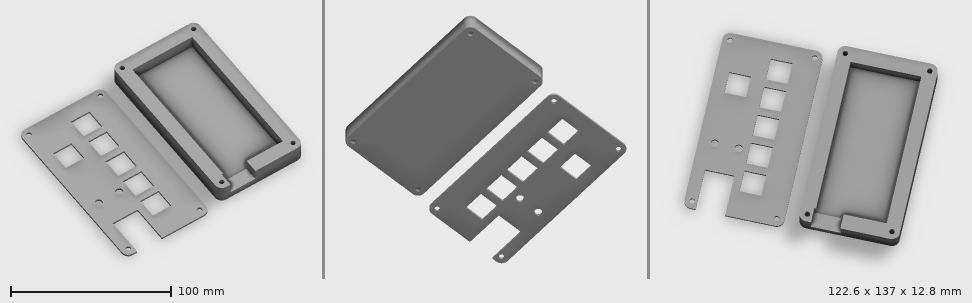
import cadquery as cq

length = 119.4
width = 64.0
corner_radius = 5.0
screw_hole_diameter = 3.4

tray_height = 12.8
pocket_length = 100.0
pocket_width = 45.4
pocket_depth = 10.0

opening_width = 19.0
opening_offset = 36.9
notch_depth = 8.0
slot_length = 27.0

plate_thickness = 1.5
plate_gap = 9.0
plate_shift = 3.2
key_size = 14.0
key_pitch = 19.1
key_count = 5
first_key_from_left = 18.4
key_row_from_back = 24.7
lower_key_stagger = 0.75
lower_key_from_left = first_key_from_left + lower_key_stagger * key_pitch
lower_key_from_back = 48.2
stud_hole_diameter = 5.0
stud_hole_from_left = 74.0
stud_holes_from_back = (38.3, 53.6)

left = -length / 2
right = length / 2
back = width / 2
opening_y = back - opening_offset - opening_width / 2


def rounded_slab(height):
    """Round-cornered slab with a screw hole on the centre of each corner arc."""
    return (
        cq.Workplane("XY")
        .rect(length, width)
        .extrude(height)
        .edges("|Z")
        .fillet(corner_radius)
        .faces(">Z")
        .workplane(origin=(0, 0, 0))
        .rect(length - 2 * corner_radius, width - 2 * corner_radius, forConstruction=True)
        .vertices()
        .hole(screw_hole_diameter)
    )


def side_opening(depth_along_x, floor_z, height):
    """Cutter for an opening that runs in from the right-hand side."""
    return (
        cq.Workplane("XY")
        .workplane(offset=floor_z)
        .center(right - depth_along_x / 2, opening_y)
        .rect(depth_along_x, opening_width)
        .extrude(height)
    )


def make_tray():
    pocket = (
        cq.Workplane("XY")
        .workplane(offset=tray_height - pocket_depth)
        .rect(pocket_length, pocket_width)
        .extrude(pocket_depth)
    )
    wall_thickness = (length - pocket_length) / 2
    notch = side_opening(wall_thickness, tray_height - notch_depth, notch_depth)
    return rounded_slab(tray_height).cut(pocket).cut(notch)


def make_switch_plate():
    key_centers = [
        (left + first_key_from_left + i * key_pitch, back - key_row_from_back)
        for i in range(key_count)
    ]
    key_centers.append((left + lower_key_from_left, back - lower_key_from_back))
    keys = (
        cq.Workplane("XY")
        .pushPoints(key_centers)
        .rect(key_size, key_size)
        .extrude(plate_thickness)
    )
    stud_holes = (
        cq.Workplane("XY")
        .pushPoints([(left + stud_hole_from_left, back - y) for y in stud_holes_from_back])
        .circle(stud_hole_diameter / 2)
        .extrude(plate_thickness)
    )
    slot = side_opening(slot_length, 0, plate_thickness)
    return rounded_slab(plate_thickness).cut(keys).cut(stud_holes).cut(slot)


tray = make_tray()
switch_plate = make_switch_plate().translate((plate_shift, -(width + plate_gap), 0))

result = cq.Compound.makeCompound([tray.val(), switch_plate.val()])